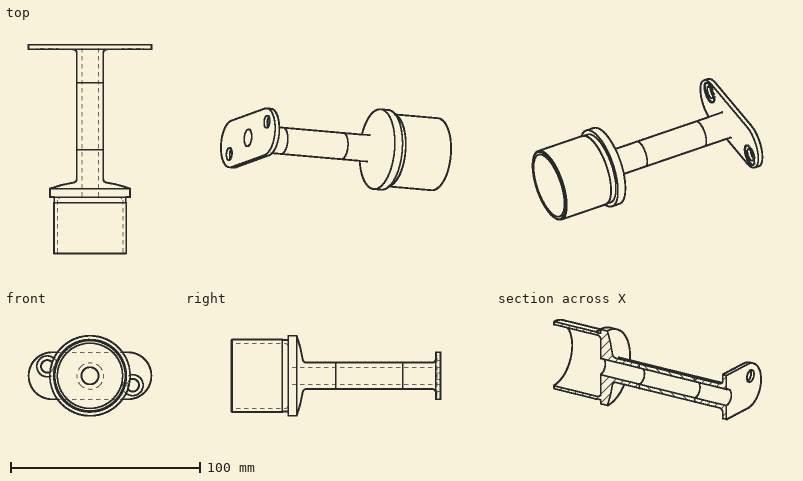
import cadquery as cq
import math


total_length = 110.5
stem_radius = 14.0 / 2
bore_radius = 9.0 / 2

plate_width = 65.0
plate_height = 25.0
plate_thickness = 2.5
plate_stub_length = 20.0
plate_fillet = 2.0

screw_hole_diameter = 6.5
counterbore_diameter = 11.0
counterbore_depth = 0.5
screw_offset_x = 22.5
screw_offset_z = 5.0

spigot_radius = 38.3 / 2
neck_radius = 37.9 / 2
flange_radius = 42.4 / 2
cap_bore_radius = 34.5 / 2
rim_chamfer_width = 0.5
dome_sphere_radius = 60.0
stem_fillet = 2.0

rim_chamfer_depth = 0.4
neck_start = 27.0
flange_front = 30.0
flange_back = 34.5
cap_end = 55.0
cap_floor_fillet = 1.9

plate_back = total_length
plate_front = plate_back - plate_thickness
plate_stub_start = plate_back - plate_stub_length
diagonal = math.sqrt(0.5)


def revolve_about_y(profile):
    """Close a radius/Y outline and spin it a full turn around the Y axis."""
    return profile.close().revolve(360, (0, 0, 0), (0, 1, 0))


def cylinder_along_y(radius, start, end):
    """Solid cylinder on the Y axis between two positions."""
    return cq.Workplane("XZ", origin=(0, start, 0)).circle(radius).extrude(start - end)


def make_tube_cap():
    """Spigot, flange and dome with a stub for the rod, hollowed from the rim."""
    sphere_centre = flange_back - math.sqrt(dome_sphere_radius**2 - flange_radius**2)

    fillet_centre_radius = stem_radius + stem_fillet
    centre_distance = dome_sphere_radius + stem_fillet
    tilt = math.asin(fillet_centre_radius / centre_distance)
    stem_start = sphere_centre + centre_distance * math.cos(tilt)
    fillet_swing = (math.pi / 2 - tilt) / 2
    fillet_middle = (
        fillet_centre_radius - stem_fillet * math.cos(fillet_swing),
        stem_start - stem_fillet * math.sin(fillet_swing),
    )

    flange_tilt = math.asin(flange_radius / dome_sphere_radius)

    def dome_point(angle):
        """Point of the sphere at an angle from the axis."""
        return (
            dome_sphere_radius * math.sin(angle),
            sphere_centre + dome_sphere_radius * math.cos(angle),
        )

    floor_fillet_centre = cap_bore_radius - cap_floor_fillet
    profile = (
        cq.Workplane("XY")
        .moveTo(cap_bore_radius, 0)
        .lineTo(spigot_radius - rim_chamfer_width, 0)
        .lineTo(spigot_radius, rim_chamfer_depth)
        .lineTo(spigot_radius, neck_start)
        .lineTo(neck_radius, neck_start)
        .lineTo(neck_radius, flange_front)
        .lineTo(flange_radius, flange_front)
        .lineTo(flange_radius, flange_back)
        .threePointArc(dome_point((flange_tilt + tilt) / 2), dome_point(tilt))
        .threePointArc(fillet_middle, (stem_radius, stem_start))
        .lineTo(stem_radius, cap_end)
        .lineTo(bore_radius, cap_end)
        .lineTo(bore_radius, flange_front)
        .lineTo(floor_fillet_centre, flange_front)
        .threePointArc(
            (
                floor_fillet_centre + cap_floor_fillet * diagonal,
                flange_front - cap_floor_fillet * (1 - diagonal),
            ),
            (cap_bore_radius, flange_front - cap_floor_fillet),
        )
    )
    return revolve_about_y(profile)


def make_rod():
    """Plain tube between the two stubs."""
    rod = cylinder_along_y(stem_radius, cap_end, plate_stub_start)
    return rod.cut(cylinder_along_y(bore_radius, cap_end, plate_stub_start))


def make_plate_stub():
    """Stub on the plate, flared into the plate by a quarter-round fillet."""
    fillet_centre = stem_radius + plate_fillet
    profile = (
        cq.Workplane("XY")
        .moveTo(0, plate_stub_start)
        .lineTo(stem_radius, plate_stub_start)
        .lineTo(stem_radius, plate_front - plate_fillet)
        .threePointArc(
            (fillet_centre - plate_fillet * diagonal, plate_front - plate_fillet * (1 - diagonal)),
            (fillet_centre, plate_front),
        )
        .lineTo(fillet_centre, plate_back)
        .lineTo(0, plate_back)
    )
    return revolve_about_y(profile)


def make_wall_plate():
    """Round-ended plate with its stub, a through bore and two counterbored screw holes."""
    plate = (
        cq.Workplane("XZ", origin=(0, plate_front, 0))
        .slot2D(plate_width, plate_height)
        .extrude(-plate_thickness)
        .union(make_plate_stub())
        .cut(cylinder_along_y(bore_radius, plate_stub_start, plate_back))
    )
    screw_places = [(-screw_offset_x, screw_offset_z), (screw_offset_x, -screw_offset_z)]
    return (
        cq.Workplane(plate.val())
        .copyWorkplane(cq.Workplane("XZ", origin=(0, plate_front, 0)))
        .pushPoints(screw_places)
        .cboreHole(screw_hole_diameter, counterbore_diameter, counterbore_depth)
    )


tube_cap = make_tube_cap()
rod = make_rod()
wall_plate = make_wall_plate()

result = cq.Compound.makeCompound([tube_cap.val(), rod.val(), wall_plate.val()])